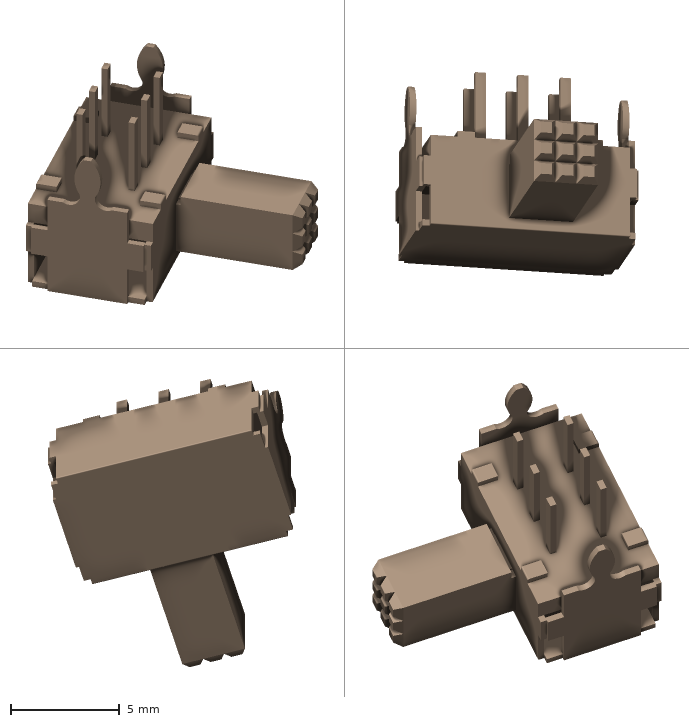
import math

import cadquery as cq


SHEET = 0.3
OVERLAP = 0.1

BODY_X = 6.0
BODY_Y = 9.35
BODY_Z = 4.3
BLOCK_BOTTOM_Z = 3.3
BOTTOM_BEND_RADIUS = 0.05
EAR_SPAN_Y = 10.0
EAR_BOTTOM_Z = 1.9
FLOOR_X = BODY_X - 2 * SHEET

TAB_X = 1.0
TAB_Y = 0.8
TAB_OFFSET_Y = 3.0
TAB_BEND_RADIUS = 0.08

BRACKET_SPAN_Y = 10.3
BRACKET_HALF_X = 1.91
BRACKET_SHOULDER_Z = 5.0
ARM_HALF_X = FLOOR_X / 2
ARM_TOP_Z = 3.33
LEG_TOP_Z = 7.5
LEG_TIP_HALF_X = 0.175
LEG_HALF_X = 0.625
LEG_WIDEST_Z = 6.39
LEG_JOINT_Z = 5.57
LEG_NECK_HALF_X = 0.36
LEG_NECK_Z = 5.45
LEG_RELIEF_RADIUS = 0.53

PIN_X = 0.3
PIN_Y = 0.5
PIN_TOP_Z = 8.0
PIN_ROW_X = 1.25
PIN_PITCH_Y = 2.0

LEVER_SIZE = 3.0
LEVER_Y = 0.5
LEVER_BOTTOM_Z = 0.53
LEVER_REACH = 6.0
LEVER_END_X = BODY_X / 2 + LEVER_REACH
LEVER_NECK_X = 0.23
LEVER_NECK_TOP_Z = 3.09
LEVER_RAIL_Y = 2.12
LEVER_RAIL_TOP_Z = 3.17
SLIDER_Y = 5.0
GRIP_COUNT = 3
GRIP_HEIGHT = 0.4
GRIP_TIP = 0.52


def box(x_range, y_range, z_range):
    """Axis-aligned box between the given limits."""
    (x0, x1), (y0, y1), (z0, z1) = x_range, y_range, z_range
    return cq.Workplane("XY").box(x1 - x0, y1 - y0, z1 - z0, centered=False).translate((x0, y0, z0))


def around(center, size):
    """Limits of a length centred on a point."""
    return center - size / 2, center + size / 2


def half_chord(radius, distance):
    """Half the length of a circle's chord at a distance from its centre."""
    return math.sqrt(radius**2 - distance**2)


def make_shell():
    """Block and walls around a chamber open at both Y ends, with wall ears and a floor."""
    shell = box(around(0, BODY_X), around(0, BODY_Y), (0, BODY_Z))
    ears = box(around(0, BODY_X), around(0, EAR_SPAN_Y), (EAR_BOTTOM_Z, BLOCK_BOTTOM_Z))
    shell = shell.union(ears).faces("<Z").edges("|Y").fillet(BOTTOM_BEND_RADIUS)
    shell = shell.cut(box(around(0, FLOOR_X), around(0, EAR_SPAN_Y), (SHEET, BLOCK_BOTTOM_Z)))
    return shell.union(box(around(0, FLOOR_X), around(0, EAR_SPAN_Y), (0, SHEET)))


def make_tab(side_x, y):
    """Clamping tab on one X side, rounded where it bends over the edge."""
    outer = BODY_X / 2
    tab = box((outer - TAB_X, outer), around(y, TAB_Y), (BODY_Z - OVERLAP, BODY_Z + SHEET))
    tab = tab.edges("|Y and >X and >Z").fillet(TAB_BEND_RADIUS)
    return tab if side_x > 0 else tab.mirror("YZ")


def make_bracket():
    """Bracket plate at the -Y end with side arms and a snap-in mounting leg."""
    plate_y = (-BRACKET_SPAN_Y / 2, -BRACKET_SPAN_Y / 2 + SHEET)
    arms = box((-ARM_HALF_X, ARM_HALF_X), plate_y, (EAR_BOTTOM_Z, ARM_TOP_Z))

    relief_x = LEG_NECK_HALF_X + LEG_RELIEF_RADIUS
    relief_bottom = (relief_x, LEG_NECK_Z - LEG_RELIEF_RADIUS)
    relief_end_x = relief_x + half_chord(LEG_RELIEF_RADIUS, BRACKET_SHOULDER_Z - LEG_NECK_Z)
    joint_x = relief_x - half_chord(LEG_RELIEF_RADIUS, LEG_JOINT_Z - LEG_NECK_Z)

    half = (
        cq.Workplane("XZ", origin=(0, plate_y[1], 0))
        .moveTo(0, 0)
        .lineTo(BRACKET_HALF_X, 0)
        .lineTo(BRACKET_HALF_X, BRACKET_SHOULDER_Z)
        .lineTo(relief_end_x, BRACKET_SHOULDER_Z)
        .threePointArc(relief_bottom, (joint_x, LEG_JOINT_Z))
        .threePointArc((LEG_HALF_X, LEG_WIDEST_Z), (LEG_TIP_HALF_X, LEG_TOP_Z))
        .lineTo(0, LEG_TOP_Z)
        .close()
        .extrude(SHEET)
    )
    return half.union(half.mirror("YZ")).union(arms)


def make_pin(x, y):
    """Straight rectangular terminal standing on the block."""
    return box(around(x, PIN_X), around(y, PIN_Y), (BODY_Z - OVERLAP, PIN_TOP_Z))


def make_grip_stud(y, z):
    """Truncated square pyramid on the end of the lever."""
    base = LEVER_SIZE / GRIP_COUNT
    return (
        cq.Workplane("YZ", origin=(LEVER_END_X - GRIP_HEIGHT, y, z))
        .rect(base, base)
        .workplane(offset=GRIP_HEIGHT)
        .rect(GRIP_TIP, GRIP_TIP)
        .loft()
    )


def make_lever():
    """Square lever with a lowered neck at the wall, grip studs and the slider inside the shell."""
    wall_x = BODY_X / 2
    neck_end_x = wall_x + LEVER_NECK_X
    lever_y = around(LEVER_Y, LEVER_SIZE)
    top_z = LEVER_BOTTOM_Z + LEVER_SIZE
    slider = box(around(0, FLOOR_X), around(LEVER_Y, SLIDER_Y), (SHEET, BLOCK_BOTTOM_Z))
    neck_x = (wall_x - SHEET, neck_end_x)
    neck = box(neck_x, lever_y, (LEVER_BOTTOM_Z, LEVER_NECK_TOP_Z))
    rail = box(neck_x, around(LEVER_Y, LEVER_RAIL_Y), (LEVER_BOTTOM_Z, LEVER_RAIL_TOP_Z))
    shaft = box((neck_end_x, LEVER_END_X - GRIP_HEIGHT), lever_y, (LEVER_BOTTOM_Z, top_z))
    lever = slider.union(neck).union(rail).union(shaft)
    pitch = LEVER_SIZE / GRIP_COUNT
    for row in range(GRIP_COUNT):
        for column in range(GRIP_COUNT):
            stud_y = lever_y[0] + (column + 0.5) * pitch
            stud_z = LEVER_BOTTOM_Z + (row + 0.5) * pitch
            lever = lever.union(make_grip_stud(stud_y, stud_z))
    return lever


result = make_shell().union(make_lever())

for side in (-1, 1):
    for tab_y in (-TAB_OFFSET_Y, TAB_OFFSET_Y):
        result = result.union(make_tab(side, tab_y))
    for pin_y in (-PIN_PITCH_Y, 0, PIN_PITCH_Y):
        result = result.union(make_pin(side * PIN_ROW_X, pin_y))

bracket = make_bracket()
result = result.union(bracket).union(bracket.mirror("XZ"))